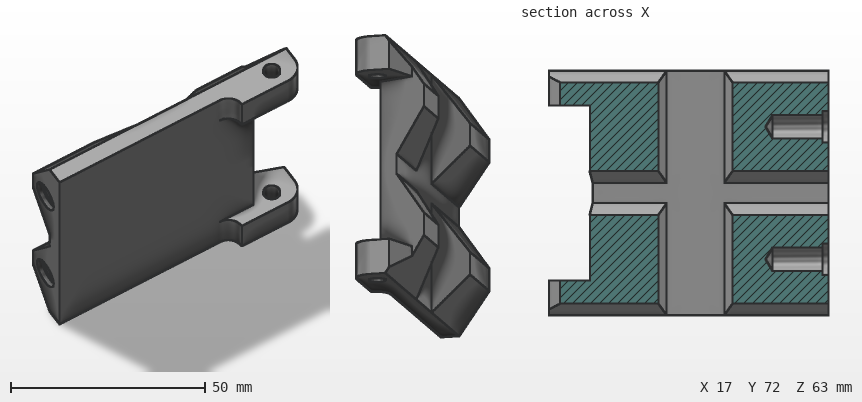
import cadquery as cq
import math

length = 72.0
height = 63.0
depth = 17.0

base_x = 8.1
back_x = 12.9
ridge_width = 28.9
land_width = 6.0
ridge_z = (height - ridge_width) / 2

channel_low_y = 26.85
channel_high_y = 41.7

knuckle_height = 9.0
pin_x = 12.1
pin_y = 65.0
pin_diameter = 4.4
knuckle_radius = depth - pin_x
relief_radius = 4.1
relief_start_y = 52.85
knuckle_tip_x = 7.0

end_land_y = 63.7
end_base_y = 60.8
notch_x = 3.5

hole_x = 6.0
bore_diameter = 8.0
bore_depth = 1.5
drill_diameter = 6.0
drill_depth = 14.4
drill_point_angle = 118.0

overcut = 0.7


def end_face_y(x):
    """Y of the sloped ridge end at a given x."""
    return end_land_y + (end_base_y - end_land_y) * x / base_x


def ridged_plate():
    """Plate with two trapezoidal ridges running along Y."""
    valley_half = ridge_z - ridge_width / 2
    points = [
        (back_x, -height / 2),
        (base_x, -height / 2),
        (0, -ridge_z - land_width / 2),
        (0, -ridge_z + land_width / 2),
        (base_x, -valley_half),
        (base_x, valley_half),
        (0, ridge_z - land_width / 2),
        (0, ridge_z + land_width / 2),
        (base_x, height / 2),
        (back_x, height / 2),
    ]
    return cq.Workplane("XZ").polyline(points).close().extrude(-length)


def cross_channel():
    """Wedge-walled channel running along Z."""
    return (
        cq.Workplane("XY", origin=(0, 0, -height / 2))
        .moveTo(0, channel_low_y - base_x)
        .lineTo(base_x, channel_low_y)
        .lineTo(base_x, channel_high_y)
        .lineTo(0, channel_high_y + base_x)
        .close()
        .extrude(height)
    )


def ridge_end_cut():
    """Material removed beyond the sloped end face between the knuckles."""
    gap = height - 2 * knuckle_height
    far_x = depth + overcut
    return (
        cq.Workplane("XY", origin=(0, 0, -gap / 2))
        .moveTo(0, end_face_y(0))
        .lineTo(far_x, end_face_y(far_x))
        .lineTo(far_x, length + overcut)
        .lineTo(0, length + overcut)
        .close()
        .extrude(gap)
    )


def notch_cut():
    """Full-height notch between the ridge ends and the sloped knuckle front."""
    return (
        cq.Workplane("XY", origin=(0, 0, -height / 2))
        .moveTo(0, end_face_y(0))
        .lineTo(notch_x, end_face_y(notch_x))
        .lineTo(knuckle_tip_x, length)
        .lineTo(0, length)
        .close()
        .extrude(height)
    )


def knuckle_back(bottom_z):
    """Thickened back of one knuckle, with a concave run-out into the plate."""
    diagonal = math.sqrt(0.5)
    relief_x = back_x + relief_radius
    relief_y = relief_start_y - relief_radius
    return (
        cq.Workplane("XY", origin=(0, 0, bottom_z))
        .moveTo(base_x, length)
        .lineTo(pin_x, length)
        .threePointArc(
            (pin_x + knuckle_radius * diagonal, length - knuckle_radius * (1 - diagonal)),
            (depth, length - knuckle_radius),
        )
        .lineTo(depth, relief_start_y)
        .threePointArc(
            (relief_x - relief_radius * diagonal, relief_y + relief_radius * diagonal),
            (back_x, relief_y),
        )
        .lineTo(base_x, relief_y)
        .close()
        .extrude(knuckle_height)
    )


def corner_cut():
    """Plate corner lying outside the knuckle's rounded end."""
    corner = cq.Workplane("XY", origin=(pin_x, length - knuckle_radius, -height / 2))
    block = corner.rect(knuckle_radius, knuckle_radius, centered=False).extrude(height)
    return block.cut(corner.circle(knuckle_radius).extrude(height))


def end_hole(center_z):
    """Counterbored blind hole with a conical drill point."""
    drill_radius = drill_diameter / 2
    point_length = drill_radius / math.tan(math.radians(drill_point_angle / 2))
    profile = (
        cq.Workplane("XY", origin=(hole_x, 0, center_z))
        .moveTo(0, 0)
        .lineTo(bore_diameter / 2, 0)
        .lineTo(bore_diameter / 2, bore_depth)
        .lineTo(drill_radius, bore_depth)
        .lineTo(drill_radius, drill_depth)
        .lineTo(0, drill_depth + point_length)
        .close()
    )
    return profile.revolve(360, (0, 0, 0), (0, 1, 0))


part = ridged_plate()
for bottom_z in (-height / 2, height / 2 - knuckle_height):
    part = part.union(knuckle_back(bottom_z))

part = part.cut(corner_cut()).cut(cross_channel())
part = part.cut(ridge_end_cut()).cut(notch_cut())

for center_z in (-ridge_z, ridge_z):
    part = part.cut(end_hole(center_z))

pin_hole = (
    cq.Workplane("XY", origin=(pin_x, pin_y, -height / 2))
    .circle(pin_diameter / 2)
    .extrude(height)
)
part = part.cut(pin_hole)

result = part.translate((-depth / 2, -length / 2, 0))